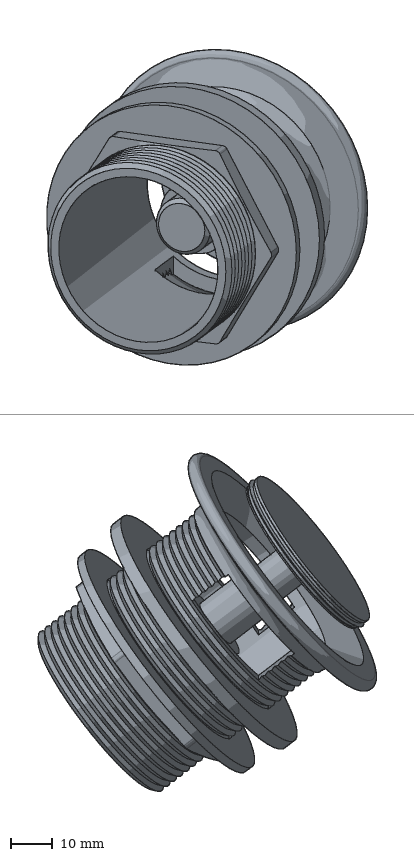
import cadquery as cq
import math


thread_pitch = 2.0
thread_crest_radius = 23.9
thread_depth = 1.15
thread_root_radius = thread_crest_radius - thread_depth

body_length = 58.0
bore_radius = 20.65
flange_radius = 35.0
rim_thickness = 3.2
rim_flat_radius = flange_radius - rim_thickness / 2
flare_middle = (29.7, -3.8)
flare_shoulder = (26.7, -4.65)
neck_middle = (25.1, -6.2)
neck_end = (24.35, -9.0)
mouth_radius = 29.0
mouth_depth = 5.0

window_width = 25.2
window_length = 11.0
window_top = -8.0

gasket_top = -24.0
gasket_thickness = 3.1
gasket_radius = 33.65

nut_top = -36.0
nut_flange_thickness = 2.15
nut_flange_radius = 32.45
hex_height = 4.7
hex_across_flats = 48.6
hex_across_corners = hex_across_flats / math.cos(math.radians(30))
hex_corner_radius = 1.4
hex_cone_drop = 0.6

plug_peak = 9.06
plug_rim_top = 7.83
plug_rim_bottom = 7.1
plug_rim_radius = 21.5
groove_radius = 20.75
lip_radius = 21.9
lip_root_radius = 21.0
lip_height = 5.87
lip_half_thickness = 0.45
foot_top = 4.65
foot_radius = 21.2
plug_bottom = 4.3
pin_radius = 5.05

guide_top = -6.0
socket_depth = 2.0
pin_end = guide_top - socket_depth
guide_radius = 6.0
collar_radius = 9.0
collar_top = -22.0
collar_thickness = 2.0
collar_bottom = collar_top - collar_thickness
tip_radius = 7.0
tip_length = 8.0
tip_chamfer = 1.0
guide_end = collar_bottom - tip_length


def revolve_about_y(profile):
    return profile.close().revolve(360, (0, 0, 0), (0, 1, 0))


def disc(radius, top, bottom):
    return cq.Workplane("XZ", origin=(0, top, 0)).circle(radius).extrude(top - bottom)


def add_thread(profile, top, bottom):
    """Continue the profile from a crest at `top` down to the last root at `bottom`."""
    ring_count = math.ceil((top - bottom) / thread_pitch)
    for ring in range(ring_count):
        crest = top - ring * thread_pitch
        profile = profile.lineTo(thread_crest_radius, crest)
        profile = profile.lineTo(thread_root_radius, crest - thread_pitch / 2)
    return profile


def make_body():
    profile = (
        cq.Workplane("XY")
        .moveTo(bore_radius, -mouth_depth)
        .lineTo(mouth_radius, 0)
        .lineTo(rim_flat_radius, 0)
        .threePointArc((flange_radius, -rim_thickness / 2), (rim_flat_radius, -rim_thickness))
        .threePointArc(flare_middle, flare_shoulder)
        .threePointArc(neck_middle, neck_end)
    )
    profile = add_thread(profile, neck_end[1], -body_length)
    body = revolve_about_y(profile.lineTo(bore_radius, -body_length))
    window = (
        cq.Workplane("XY")
        .center(0, window_top - window_length / 2)
        .rect(window_width, window_length)
        .extrude(flange_radius, both=True)
    )
    return body.cut(window)


def make_gasket():
    bottom = gasket_top - gasket_thickness
    return disc(gasket_radius, gasket_top, bottom).cut(disc(thread_crest_radius, gasket_top, bottom))


def make_nut():
    flange_bottom = nut_top - nut_flange_thickness
    hex_bottom = flange_bottom - hex_height
    hexagon = (
        cq.Workplane("XZ", origin=(0, flange_bottom, 0))
        .polygon(6, hex_across_corners)
        .extrude(hex_height)
        .edges("|Y")
        .fillet(hex_corner_radius)
    )
    cone_envelope = revolve_about_y(
        cq.Workplane("XY")
        .moveTo(0, flange_bottom)
        .lineTo(hex_across_corners / 2, flange_bottom)
        .lineTo(hex_across_corners / 2, hex_bottom + hex_cone_drop)
        .lineTo(thread_crest_radius, hex_bottom)
        .lineTo(0, hex_bottom)
    )
    nut = disc(nut_flange_radius, nut_top, flange_bottom).union(hexagon.intersect(cone_envelope))
    return nut.cut(disc(thread_crest_radius, nut_top, hex_bottom))


def make_plug():
    return revolve_about_y(
        cq.Workplane("XY")
        .moveTo(0, plug_peak)
        .lineTo(plug_rim_radius, plug_rim_top)
        .lineTo(plug_rim_radius, plug_rim_bottom)
        .lineTo(groove_radius, plug_rim_bottom)
        .lineTo(lip_root_radius, lip_height + lip_half_thickness)
        .lineTo(lip_radius, lip_height)
        .lineTo(lip_root_radius, lip_height - lip_half_thickness)
        .lineTo(groove_radius, foot_top)
        .lineTo(foot_radius, foot_top)
        .lineTo(foot_radius, plug_bottom)
        .lineTo(pin_radius, plug_bottom)
        .lineTo(pin_radius, pin_end)
        .lineTo(0, pin_end)
    )


def make_guide():
    return revolve_about_y(
        cq.Workplane("XY")
        .moveTo(0, pin_end)
        .lineTo(pin_radius, pin_end)
        .lineTo(pin_radius, guide_top)
        .lineTo(guide_radius, guide_top)
        .lineTo(guide_radius, collar_top)
        .lineTo(collar_radius, collar_top)
        .lineTo(collar_radius, collar_bottom)
        .lineTo(tip_radius, collar_bottom)
        .lineTo(tip_radius, guide_end + tip_chamfer)
        .lineTo(tip_radius - tip_chamfer, guide_end)
        .lineTo(0, guide_end)
    )


body = make_body()
gasket = make_gasket()
nut = make_nut()
plug = make_plug()
guide = make_guide()

result = cq.Compound.makeCompound(
    [body.val(), gasket.val(), nut.val(), plug.val(), guide.val()]
)